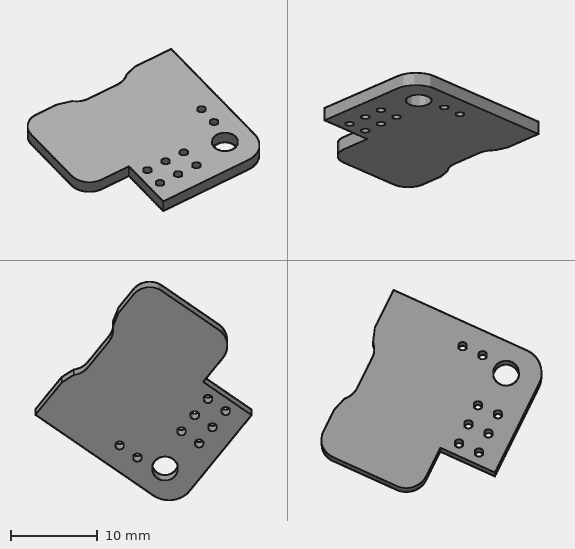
import cadquery as cq
import math

width = 19.98
length = 21.2
thickness = 1.6

tab_width = 13.02
step_height = 6.32

lower_left_radius = 2.33
lower_right_radius = 2.55
upper_right_radius = 3.0

notch_middle = 10.77
notch_depth = 1.27
notch_floor_half = 2.01
notch_arc_radius = 2.5
notch_arc_rise = 1.78
upper_mouth_reach = 5.39
lower_mouth_reach = 5.54

pitch = 2.55
small_diameter = 1.0
large_diameter = 3.0
large_center = (16.01, 17.69)
pair_start = (10.1, 18.5)
grid_start = (14.75, 7.72)


def notch_arc_point(angle, side):
    """Point on a notch arc, by angle from the floor; side is +1 for upper, -1 for lower."""
    x = notch_depth - notch_arc_radius * (1 - math.cos(angle))
    y = notch_middle + side * (notch_floor_half + notch_arc_radius * math.sin(angle))
    return (x, y)


def hole_grid(start, columns, rows):
    """Centers of a rectangular hole pattern."""
    return [
        (start[0] + column * pitch, start[1] + row * pitch)
        for column in range(columns)
        for row in range(rows)
    ]


def make_plate():
    """Stepped plate with a notched left edge and three rounded corners."""
    arc_angle = math.asin(notch_arc_rise / notch_arc_radius)
    plate = (
        cq.Workplane("XY")
        .moveTo(0, 0)
        .lineTo(tab_width, 0)
        .lineTo(tab_width, step_height)
        .lineTo(width, step_height)
        .lineTo(width, length)
        .lineTo(0, length)
        .lineTo(0, notch_middle + upper_mouth_reach)
        .lineTo(*notch_arc_point(arc_angle, 1))
        .threePointArc(notch_arc_point(arc_angle / 2, 1), notch_arc_point(0, 1))
        .lineTo(*notch_arc_point(0, -1))
        .threePointArc(notch_arc_point(arc_angle / 2, -1), notch_arc_point(arc_angle, -1))
        .lineTo(0, notch_middle - lower_mouth_reach)
        .close()
        .extrude(thickness)
    )
    rounded_corners = [
        ((0, 0), lower_left_radius),
        ((tab_width, 0), lower_right_radius),
        ((width, length), upper_right_radius),
    ]
    for (x, y), radius in rounded_corners:
        corner = cq.selectors.NearestToPointSelector((x, y, thickness / 2))
        plate = plate.edges(corner).fillet(radius)
    return plate


def drill(plate, centers, diameter):
    """Cut through holes at the given centers."""
    holes = cq.Workplane("XY").pushPoints(centers).circle(diameter / 2).extrude(thickness)
    return plate.cut(holes)


result = make_plate()
result = drill(result, [large_center], large_diameter)
result = drill(result, hole_grid(pair_start, 2, 1), small_diameter)
result = drill(result, hole_grid(grid_start, 2, 3), small_diameter)